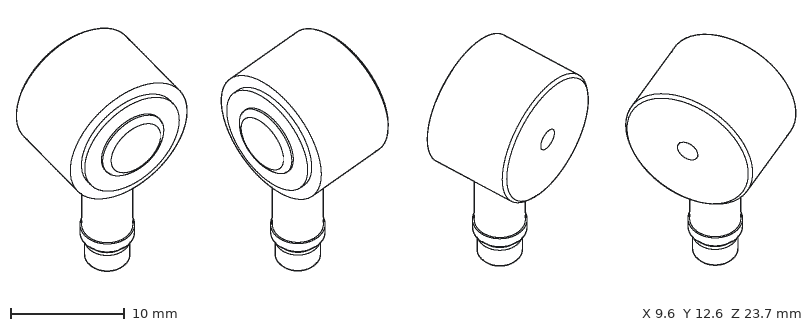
import cadquery as cq

body_diameter = 12.6
body_length = 8.5
body_chamfer = 0.28
flange_diameter = 10.2
flange_thickness = 0.5
button_diameter = 6.6
button_rim = 0.2
button_height = 0.6
button_face_diameter = 5.33
button_edge_bulge = 0.05
hole_diameter = 2.01
hole_depth = 2.01

stem_x = 5.24
stem_diameter = 4.5
overall_height = 23.7
collar_diameter = 4.8
collar_height = 1.0
plug_diameter = 4.0
plug_height = 2.23
plug_chamfer_height = 0.28
plug_chamfer_width = 0.21
plug_top_chamfer_height = 0.2
neck_diameter = 3.7
neck_height = 0.88
ring_height = 0.57
ring_gap = 0.07

body_radius = body_diameter / 2
stem_bottom = body_radius - overall_height
collar_bottom = stem_bottom + plug_height + neck_height
collar_top = collar_bottom + collar_height
stem_top = -body_radius / 2


def x_cylinder(diameter, start, length):
    """Cylinder on the body axis, running from start towards +X."""
    return cq.Workplane("YZ", origin=(start, 0, 0)).circle(diameter / 2).extrude(length)


def make_button():
    """Contact button with a straight rim and a gently rounded edge."""
    base = body_length + flange_thickness
    rim = base + button_rim
    face = base + button_height
    outer = button_diameter / 2
    inner = button_face_diameter / 2
    edge_middle = ((rim + face) / 2 + button_edge_bulge, (outer + inner) / 2 + button_edge_bulge)
    profile = (
        cq.Workplane("XY")
        .moveTo(body_length, 0)
        .lineTo(body_length, outer)
        .lineTo(rim, outer)
        .threePointArc(edge_middle, (face, inner))
        .lineTo(face, 0)
        .close()
    )
    return profile.revolve(360, (0, 0, 0), (1, 0, 0))


def make_body():
    body = x_cylinder(body_diameter, 0, body_length).faces("<X").chamfer(body_chamfer)
    flange = x_cylinder(flange_diameter, body_length, flange_thickness)
    return body.union(flange).union(make_button())


def make_stem():
    """Stepped stem: plug, neck with a rounded seal ring, collar and tube, turned about Z."""
    plug_radius = plug_diameter / 2
    neck_radius = neck_diameter / 2
    collar_radius = collar_diameter / 2
    stem_radius = stem_diameter / 2
    plug_top = stem_bottom + plug_height
    ring_top = collar_bottom - ring_gap
    ring_bottom = ring_top - ring_height
    ring_middle = ring_top - ring_height / 2
    profile = (
        cq.Workplane("XZ", origin=(stem_x, 0, 0))
        .moveTo(0, stem_bottom)
        .lineTo(plug_radius - plug_chamfer_width, stem_bottom)
        .lineTo(plug_radius, stem_bottom + plug_chamfer_height)
        .lineTo(plug_radius, plug_top)
        .lineTo(neck_radius, plug_top + plug_top_chamfer_height)
        .lineTo(neck_radius, ring_bottom)
        .threePointArc((plug_radius, ring_middle), (neck_radius, ring_top))
        .lineTo(neck_radius, collar_bottom)
        .lineTo(collar_radius, collar_bottom)
        .lineTo(collar_radius, collar_top)
        .lineTo(stem_radius, collar_top)
        .lineTo(stem_radius, stem_top)
        .lineTo(0, stem_top)
        .close()
    )
    return profile.revolve(360, (0, 0, 0), (0, 1, 0))


hole = x_cylinder(hole_diameter, 0, hole_depth)
result = make_body().union(make_stem()).cut(hole)